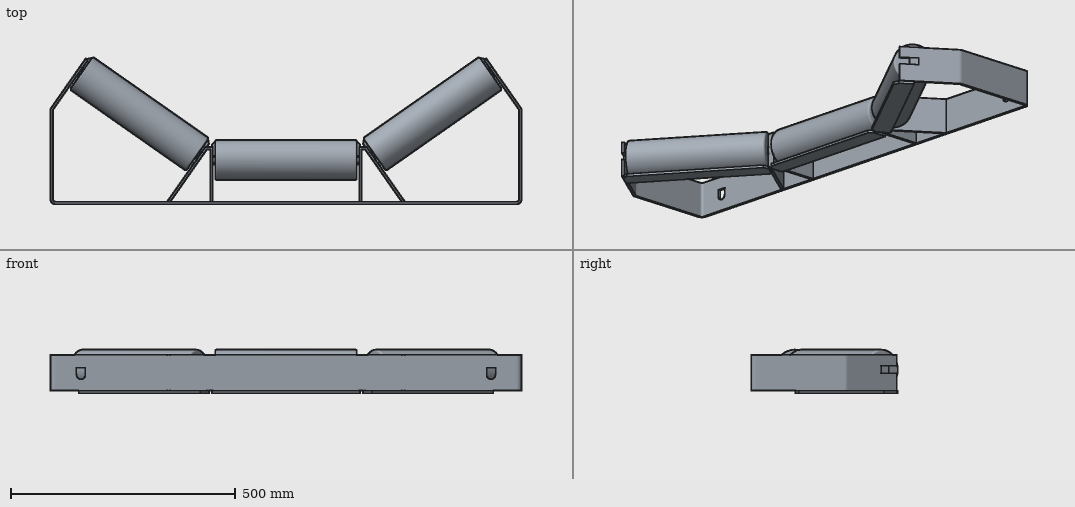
import cadquery as cq
import math


overall_length = 1050.0
overall_height = 98.0

strip_thickness = 6.0
strip_height = 80.0
bend_outer_radius = 12.0
bend_inner_radius = bend_outer_radius - strip_thickness

roller_diameter = 89.0
roller_length = 316.0
roller_edge_radius = 4.0
support_span = 325.0
shaft_diameter = 20.0
shaft_flat_height = 16.0
roller_radius = roller_diameter / 2
roller_axis_z = overall_height - roller_radius

wing_angle = 35.0
wing_x = 327.0
wing_y = 202.0
centre_roller_y = 99.0
roller_places = [
    (-wing_x, wing_y, -wing_angle),
    (0, centre_roller_y, 0),
    (wing_x, wing_y, wing_angle),
]

plate_thickness = 6.0
plate_length = 331.0
plate_corner = 10.0
strip_bottom = plate_thickness

strap_end_reach = 33.0
notch_length = 2 * strap_end_reach
bolt_slot_x = 457.0
bolt_slot_width = 20.0
bolt_slot_top = 57.0
bolt_slot_bottom = 32.0

bracket_top_y = 128.0

support_inner = support_span / 2
support_outer = support_inner + strip_thickness

wing_cos = math.cos(math.radians(wing_angle))
wing_sin = math.sin(math.radians(wing_angle))


def place(body, roller_place):
    x, y, angle = roller_place
    return body.rotate((0, 0, 0), (0, 0, 1), angle).translate((x, y, 0))


def wing_point(along, across):
    """Point given along the right-hand wing roller's axis and across it."""
    x = wing_x + along * wing_cos - across * wing_sin
    y = wing_y + along * wing_sin + across * wing_cos
    return (x, y)


def wing_point_at_x(along, x):
    return wing_point(along, (wing_x + along * wing_cos - x) / wing_sin)


def wing_point_at_y(along, y):
    return wing_point(along, (y - wing_y - along * wing_sin) / wing_cos)


def strip_solid(outline):
    return cq.Workplane("XY", origin=(0, 0, strip_bottom)).polyline(outline).close().extrude(strip_height)


def bar(diameter, length):
    """Round bar on the roller axis, centred on the middle of the roller."""
    return cq.Workplane("YZ", origin=(-length / 2, 0, roller_axis_z)).circle(diameter / 2).extrude(length)


def shaft_ends():
    """Flat-sided bar whose two ends fit the supports."""
    return cq.Workplane("XY", origin=(0, 0, roller_axis_z)).box(
        2 * support_outer, shaft_diameter, shaft_flat_height
    )


def make_roller():
    shell = bar(roller_diameter, roller_length).faces("|X").edges().fillet(roller_edge_radius)
    journal = bar(shaft_diameter, support_span)
    return shell.union(journal).union(shaft_ends())


def make_plate():
    """Flat plate from below the roller axis to below the roller's outer edge."""
    return (
        cq.Workplane("XY", origin=(0, roller_radius / 2, 0))
        .rect(plate_length, roller_radius)
        .extrude(plate_thickness)
        .edges("|Z and >Y")
        .chamfer(plate_corner)
    )


def round_bend(body, corner, radius):
    """Round the upright edge at a corner of the right half, and its mirror image."""
    x, y = corner
    middle_z = strip_bottom + strip_height / 2
    for edge_x in (x, -x):
        edge = cq.selectors.NearestToPointSelector((edge_x, y, middle_z))
        body = body.edges(edge).fillet(radius)
    return body


def make_bent_strip():
    outer_x = overall_length / 2
    inner_x = outer_x - strip_thickness
    outer_corner = (outer_x, 0)
    outer_bend = wing_point_at_x(support_outer, outer_x)
    inner_bend = wing_point_at_x(support_inner, inner_x)
    inner_corner = (inner_x, strip_thickness)
    right_half = [
        outer_corner,
        outer_bend,
        wing_point(support_outer, strap_end_reach),
        wing_point(support_inner, strap_end_reach),
        inner_bend,
        inner_corner,
    ]
    left_half = [(-x, y) for x, y in reversed(right_half)]
    body = strip_solid(right_half + left_half)
    for corner in (outer_corner, outer_bend):
        body = round_bend(body, corner, bend_outer_radius)
    for corner in (inner_bend, inner_corner):
        body = round_bend(body, corner, bend_inner_radius)
    return body


def bolt_slot(x):
    """Slot with a flat top and a round bottom."""
    radius = bolt_slot_width / 2
    arc_start_z = bolt_slot_bottom + radius
    return (
        cq.Workplane("XZ", origin=(x, 0, 0))
        .moveTo(-radius, bolt_slot_top)
        .lineTo(-radius, arc_start_z)
        .threePointArc((0, bolt_slot_bottom), (radius, arc_start_z))
        .lineTo(radius, bolt_slot_top)
        .close()
        .extrude(-strip_thickness)
    )


def shaft_notches():
    """Notches for the outer shaft ends, open at the ends of the strap."""
    right_notch = place(
        cq.Workplane("XY")
        .box(strip_thickness, notch_length, shaft_flat_height, centered=(False, False, True))
        .translate((support_inner, -shaft_diameter / 2, roller_axis_z)),
        (wing_x, wing_y, wing_angle),
    )
    return [right_notch, right_notch.mirror("YZ")]


def make_strap():
    body = make_bent_strip()
    for x in (-bolt_slot_x, bolt_slot_x):
        body = body.cut(bolt_slot(x))
    for notch in shaft_notches():
        body = body.cut(notch)
    return body


def make_right_bracket():
    """Upright leg, short top and sloping leg, with a hole in each leg for a shaft end."""
    foot_y = strip_thickness
    top_underside_y = bracket_top_y - strip_thickness
    outline = [
        (support_inner, foot_y),
        (support_inner, bracket_top_y),
        wing_point_at_y(-support_inner, bracket_top_y),
        wing_point_at_y(-support_inner, foot_y),
        wing_point_at_y(-support_outer, foot_y),
        wing_point_at_y(-support_outer, top_underside_y),
        (support_outer, top_underside_y),
        (support_outer, foot_y),
    ]
    body = strip_solid(outline)
    for roller_place in roller_places:
        body = body.cut(place(shaft_ends(), roller_place))
    return body


strap = make_strap()
right_bracket = make_right_bracket()
left_bracket = right_bracket.mirror("YZ")
brackets = [left_bracket, right_bracket]

rollers = []
plates = []
for roller_place in roller_places:
    rollers.append(place(make_roller(), roller_place))
    plates.append(place(make_plate(), roller_place))

result = cq.Compound.makeCompound([body.val() for body in [strap, *brackets, *rollers, *plates]])